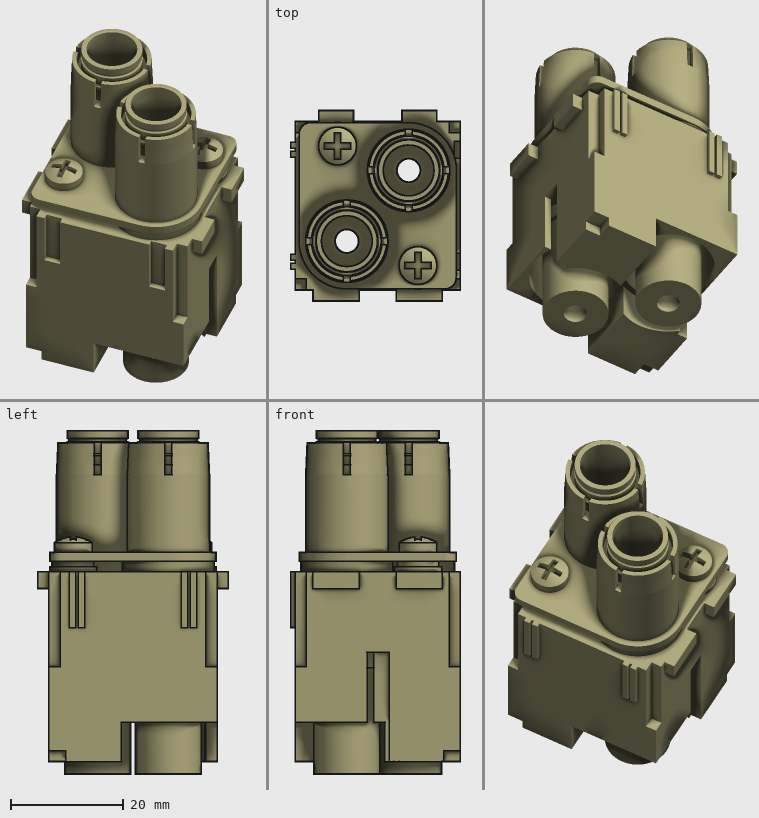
import cadquery as cq

TOTAL_HEIGHT = 61.3
LEG_BOTTOM = 2.2
CORNER_NOTCH_TOP = 4.15
LEG_TOP = 9.2
TUBE_COLLAR_BOTTOM = 18.95
CORNER_STEP = 19.1
CAVITY_TOP = 21.75
RIB_BOTTOM = 26.1
LUG_BOTTOM = 33.1
BODY_TOP = 36.1
WASHER_TOP = 36.95
PLATE_BOTTOM = 37.95
PLATE_TOP = 39.55
SCREW_DOME_BASE = 41.3
SCREW_TOP = 42.35
SLEEVE_SLOT_BOTTOM = 53.45
SLEEVE_TOP = 59.1

BODY_X = 29.5
BODY_Y = 30.1
CORNER_STEP_SIZE = 2.0
BOTTOM_NOTCH_SIZE = 3.0
LUG_REACH = 1.95
FRONT_LUG_WIDTH = 8.3
REAR_LUG_WIDTH = 6.25
LUG_X = 7.4
RIB_REACH = 0.8
RIB_WIDTH = 1.1
RIB_SPACING = 1.6
RIB_PAIR_Y = 10.0
RIB_GROOVE_WIDTH = 3.0
RIB_GROOVE_DEPTH = 1.05

LEG_EDGE_X = 1.3
LEG_EDGE_Y = 2.1
LEG_BORE_RADIUS = 9.4
CAVITY_RADIUS = 8.3
SLOT_LEFT = -1.9
SLOT_RIGHT = 2.1
SLOT_DEPTH = 2.0

TOWER_X = 5.5
TOWER_Y = 6.3
TOWER_RADIUS = 7.35
SLEEVE_TOP_RADIUS = 7.1
SLEEVE_INNER_RADIUS = 6.3
SLEEVE_SLOT_WIDTH = 1.2
LOWER_TUBE_RADIUS = 5.9
TUBE_COLLAR_RADIUS = 6.75
BASE_DISC_RADIUS = 8.2
BORE_RADIUS = 4.55
CONTACT_HOLE_RADIUS = 2.1

INNER_TUBE_RADIUS = 5.5
BARB_RADIUS = 6.1
BARB_CONE_BOTTOM = 55.25
BARB_EDGE_BOTTOM = 56.8
BARB_TOP = 57.2
SHOULDER_TOP = 59.2
NECK_RADIUS = 5.15
NECK_BOTTOM = 59.35
NECK_TOP = 59.8
RIM_RADIUS = 5.45
RIM_BOTTOM = 59.95

PLATE_LARGE_CORNER = 8.5
PLATE_SMALL_CORNER = 2.0
PLATE_HALF_X = TOWER_X + PLATE_LARGE_CORNER
PLATE_HALF_Y = TOWER_Y + PLATE_LARGE_CORNER
SCREW_X = 7.2
SCREW_Y = 10.65
SCREW_RADIUS = 3.4
WASHER_RADIUS = 4.2
SCREW_BOSS_RADIUS = 3.7
CROSS_LENGTH = 4.7
CROSS_WIDTH = 1.1
CROSS_FLOOR = 40.45

HALF_X = BODY_X / 2
HALF_Y = BODY_Y / 2
TOWER_CENTRES = [(-TOWER_X, -TOWER_Y), (TOWER_X, TOWER_Y)]
SCREW_CENTRES = [(SCREW_X, -SCREW_Y), (-SCREW_X, SCREW_Y)]


def block(x0, x1, y0, y1, z0, z1):
    return cq.Workplane("XY").box(x1 - x0, y1 - y0, z1 - z0, centered=False).translate((x0, y0, z0))


def cylinder(centre, radius, z0, z1):
    return cq.Workplane("XY", origin=(*centre, z0)).circle(radius).extrude(z1 - z0)


def revolved(profile):
    """Solid of revolution about Z from (radius, height) points."""
    return cq.Workplane("XZ").polyline(profile).close().revolve(360, (0, 0, 0), (0, 1, 0))


def half_turn(shape):
    return shape.rotate((0, 0, 0), (0, 0, 1), 180)


def housing():
    """Block with corner steps, lugs, coding ribs and the matching grooves."""
    body = block(-HALF_X, HALF_X, -HALF_Y, HALF_Y, LEG_BOTTOM, BODY_TOP)
    corner_steps = (
        cq.Workplane("XY", origin=(0, 0, CORNER_STEP))
        .rect(BODY_X, BODY_Y, forConstruction=True)
        .vertices()
        .rect(2 * CORNER_STEP_SIZE, 2 * CORNER_STEP_SIZE)
        .extrude(BODY_TOP - CORNER_STEP)
    )
    body = body.cut(corner_steps)
    for side in (-1, 1):
        lug_x = side * LUG_X
        body = body.union(block(lug_x - FRONT_LUG_WIDTH / 2, lug_x + FRONT_LUG_WIDTH / 2,
                                -HALF_Y - LUG_REACH, -HALF_Y, LUG_BOTTOM, BODY_TOP))
        body = body.union(block(lug_x - REAR_LUG_WIDTH / 2, lug_x + REAR_LUG_WIDTH / 2,
                                HALF_Y, HALF_Y + LUG_REACH, LUG_BOTTOM, BODY_TOP))
        pair_y = side * RIB_PAIR_Y
        for offset in (-RIB_SPACING / 2, RIB_SPACING / 2):
            rib_y = pair_y + offset
            body = body.union(block(-HALF_X - RIB_REACH, -HALF_X,
                                    rib_y - RIB_WIDTH / 2, rib_y + RIB_WIDTH / 2, RIB_BOTTOM, BODY_TOP))
        body = body.cut(block(HALF_X - RIB_GROOVE_DEPTH, HALF_X,
                              pair_y - RIB_GROOVE_WIDTH / 2, pair_y + RIB_GROOVE_WIDTH / 2,
                              RIB_BOTTOM, BODY_TOP))
    return body


def lower_openings():
    """Space around the front left tube; a half turn gives the rear right one."""
    centre = TOWER_CENTRES[0]
    quadrant = block(-HALF_X, LEG_EDGE_X, -HALF_Y, LEG_EDGE_Y, LEG_BOTTOM, LEG_TOP)
    leg_bore = cylinder(centre, LEG_BORE_RADIUS, LEG_BOTTOM, LEG_TOP).intersect(
        block(-HALF_X, HALF_X, -HALF_Y + SLOT_DEPTH, LEG_EDGE_Y, LEG_BOTTOM, LEG_TOP))
    cavity = cylinder(centre, CAVITY_RADIUS, LEG_TOP, CAVITY_TOP)
    slot = block(SLOT_LEFT, SLOT_RIGHT, -HALF_Y, -HALF_Y + SLOT_DEPTH, LEG_BOTTOM, CAVITY_TOP)
    corner_notch = block(HALF_X - BOTTOM_NOTCH_SIZE, HALF_X, -HALF_Y, -HALF_Y + BOTTOM_NOTCH_SIZE,
                         LEG_BOTTOM, CORNER_NOTCH_TOP)
    return quadrant.union(leg_bore).union(cavity).union(slot).union(corner_notch)


def cover_plate():
    """Plate with two large corners around the towers and two small ones by the screws."""
    plate = block(-PLATE_HALF_X, PLATE_HALF_X, -PLATE_HALF_Y, PLATE_HALF_Y, PLATE_BOTTOM, PLATE_TOP)
    plate = plate.edges("|Z").edges("<(1,1,0) or >(1,1,0)").fillet(PLATE_LARGE_CORNER)
    plate = plate.edges("|Z").edges("<(1,-1,0) or >(1,-1,0)").fillet(PLATE_SMALL_CORNER)
    return plate


def screw_base(centre):
    """Washer and boss between the block and the cover plate."""
    washer = cylinder(centre, WASHER_RADIUS, BODY_TOP, WASHER_TOP)
    return washer.union(cylinder(centre, SCREW_BOSS_RADIUS, WASHER_TOP, PLATE_BOTTOM))


def screw_head(centre):
    """Domed head with a cross recess."""
    dome_height = SCREW_TOP - SCREW_DOME_BASE
    dome_radius = (SCREW_RADIUS**2 + dome_height**2) / (2 * dome_height)
    dome_ball = cq.Workplane("XY").sphere(dome_radius).translate((*centre, SCREW_TOP - dome_radius))
    head = cylinder(centre, SCREW_RADIUS, PLATE_TOP, SCREW_TOP).intersect(dome_ball)
    floor = cq.Workplane("XY", origin=(*centre, CROSS_FLOOR))
    for length_x, length_y in ((CROSS_LENGTH, CROSS_WIDTH), (CROSS_WIDTH, CROSS_LENGTH)):
        head = head.cut(floor.rect(length_x, length_y).extrude(SCREW_TOP - CROSS_FLOOR))
    return head


def sleeve():
    """Outer sleeve around the Z axis, with four slots through its tapered end."""
    profile = [
        (0, PLATE_TOP),
        (TOWER_RADIUS, PLATE_TOP),
        (TOWER_RADIUS, SLEEVE_SLOT_BOTTOM),
        (SLEEVE_TOP_RADIUS, SLEEVE_TOP),
        (SLEEVE_INNER_RADIUS, SLEEVE_TOP),
        (SLEEVE_INNER_RADIUS, SLEEVE_SLOT_BOTTOM),
        (0, SLEEVE_SLOT_BOTTOM),
    ]
    body = revolved(profile)
    slots = cq.Workplane("XY", origin=(0, 0, SLEEVE_SLOT_BOTTOM))
    for length_x, length_y in ((2 * TOWER_RADIUS, SLEEVE_SLOT_WIDTH), (SLEEVE_SLOT_WIDTH, 2 * TOWER_RADIUS)):
        body = body.cut(slots.rect(length_x, length_y).extrude(SLEEVE_TOP - SLEEVE_SLOT_BOTTOM))
    return body


def inner_tube():
    """Tube around the Z axis, with a snap barb and a necked rim above the sleeve floor."""
    return revolved([
        (0, SLEEVE_SLOT_BOTTOM),
        (INNER_TUBE_RADIUS, SLEEVE_SLOT_BOTTOM),
        (INNER_TUBE_RADIUS, BARB_CONE_BOTTOM),
        (BARB_RADIUS, BARB_EDGE_BOTTOM),
        (BARB_RADIUS, BARB_TOP),
        (INNER_TUBE_RADIUS, BARB_TOP),
        (INNER_TUBE_RADIUS, SHOULDER_TOP),
        (NECK_RADIUS, NECK_BOTTOM),
        (NECK_RADIUS, NECK_TOP),
        (RIM_RADIUS, RIM_BOTTOM),
        (RIM_RADIUS, TOTAL_HEIGHT),
        (0, TOTAL_HEIGHT),
    ])


result = housing()
openings = lower_openings()
result = result.cut(openings).cut(half_turn(openings))
result = result.union(cover_plate())

for screw_centre in SCREW_CENTRES:
    result = result.union(screw_base(screw_centre)).union(screw_head(screw_centre))

upper_tower = sleeve().union(inner_tube())
for tower_centre in TOWER_CENTRES:
    result = result.union(cylinder(tower_centre, LOWER_TUBE_RADIUS, 0, CAVITY_TOP))
    result = result.union(cylinder(tower_centre, TUBE_COLLAR_RADIUS, TUBE_COLLAR_BOTTOM, CAVITY_TOP))
    result = result.union(cylinder(tower_centre, BASE_DISC_RADIUS, BODY_TOP, PLATE_BOTTOM))
    result = result.union(upper_tower.translate((*tower_centre, 0)))

for tower_centre in TOWER_CENTRES:
    result = result.cut(cylinder(tower_centre, CONTACT_HOLE_RADIUS, 0, TOTAL_HEIGHT))
    result = result.cut(cylinder(tower_centre, BORE_RADIUS, PLATE_TOP, TOTAL_HEIGHT))